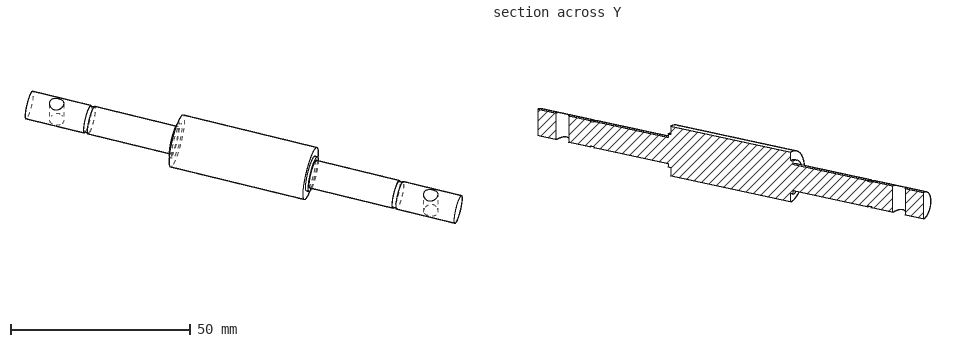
import cadquery as cq

shaft_length = 125.0
shaft_diameter = 8.0
body_length = 39.0
body_diameter = 15.0

shoulder_diameter = 10.0
shoulder_width = 0.8

groove_width = 1.1
groove_diameter = 7.5
groove_end_distance = 17.0

hole_diameter = 4.0
hole_end_distance = 8.0


def cylinder_along_x(diameter, length, center_x=0.0):
    """Solid cylinder on the X axis, centred at center_x."""
    start = cq.Workplane("YZ").workplane(offset=center_x - length / 2)
    return start.circle(diameter / 2).extrude(length)


result = cylinder_along_x(shaft_diameter, shaft_length)
result = result.union(cylinder_along_x(shoulder_diameter, body_length + 2 * shoulder_width))
result = result.union(cylinder_along_x(body_diameter, body_length))

groove_x = shaft_length / 2 - groove_end_distance - groove_width / 2
hole_x = shaft_length / 2 - hole_end_distance
for side in (-1, 1):
    ring = cylinder_along_x(body_diameter, groove_width, side * groove_x)
    ring = ring.cut(cylinder_along_x(groove_diameter, groove_width, side * groove_x))
    result = result.cut(ring)

    hole = cq.Workplane("XY").center(side * hole_x, 0).circle(hole_diameter / 2)
    result = result.cut(hole.extrude(shaft_diameter, both=True))